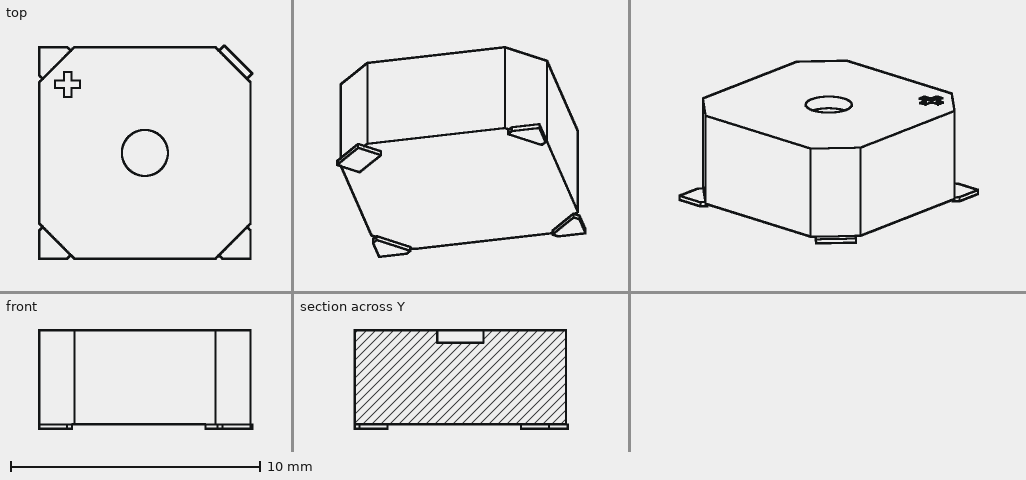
import cadquery as cq
import math

body_side = 8.5
overall_height = 3.96
corner_chamfer = 1.42

tab_thickness = 0.18
tab_width = 1.6
tab_length = 1.08
square_tab_overhang = 0.07

sound_hole_diameter = 1.85
sound_hole_depth = 0.5

plus_size = 1.0
plus_arm_width = 0.3
plus_depth = 0.1
plus_center = (-3.1, 2.75)

half_side = body_side / 2
body_height = overall_height - tab_thickness
corner_radius = half_side * math.sqrt(2)
half_tab = tab_width / 2
square_tab_end = (half_side + square_tab_overhang) * math.sqrt(2) - half_tab

square_tab_angle = 45
pointed_tab_angles = (135, 225, 315)


def make_body():
    base = cq.Workplane("XY").workplane(offset=tab_thickness)
    block = base.rect(body_side, body_side).extrude(body_height)
    return block.edges("|Z").chamfer(corner_chamfer)


def make_pointed_tab(angle):
    """Strip ending in a right-angled point at the corner of the body square."""
    inner_end = corner_radius - tab_length
    shoulder = corner_radius - half_tab
    outline = [
        (inner_end, -half_tab),
        (shoulder, -half_tab),
        (corner_radius, 0),
        (shoulder, half_tab),
        (inner_end, half_tab),
    ]
    tab = cq.Workplane("XY").polyline(outline).close().extrude(tab_thickness)
    return tab.rotate((0, 0, 0), (0, 0, 1), angle)


def make_square_tab(angle):
    """Strip with a straight outer end parallel to the body chamfer."""
    tab_center = square_tab_end - tab_length / 2
    tab = cq.Workplane("XY").center(tab_center, 0).rect(tab_length, tab_width).extrude(tab_thickness)
    return tab.rotate((0, 0, 0), (0, 0, 1), angle)


def make_sound_hole():
    floor = overall_height - sound_hole_depth
    plane = cq.Workplane("XY").workplane(offset=floor)
    return plane.circle(sound_hole_diameter / 2).extrude(sound_hole_depth)


def make_plus_recess():
    floor = overall_height - plus_depth
    plane = cq.Workplane("XY").workplane(offset=floor).center(*plus_center)
    bar_along_x = plane.rect(plus_size, plus_arm_width).extrude(plus_depth)
    bar_along_y = plane.rect(plus_arm_width, plus_size).extrude(plus_depth)
    return bar_along_x.union(bar_along_y)


result = make_body().cut(make_sound_hole()).cut(make_plus_recess())
result = result.union(make_square_tab(square_tab_angle))
for tab_angle in pointed_tab_angles:
    result = result.union(make_pointed_tab(tab_angle))